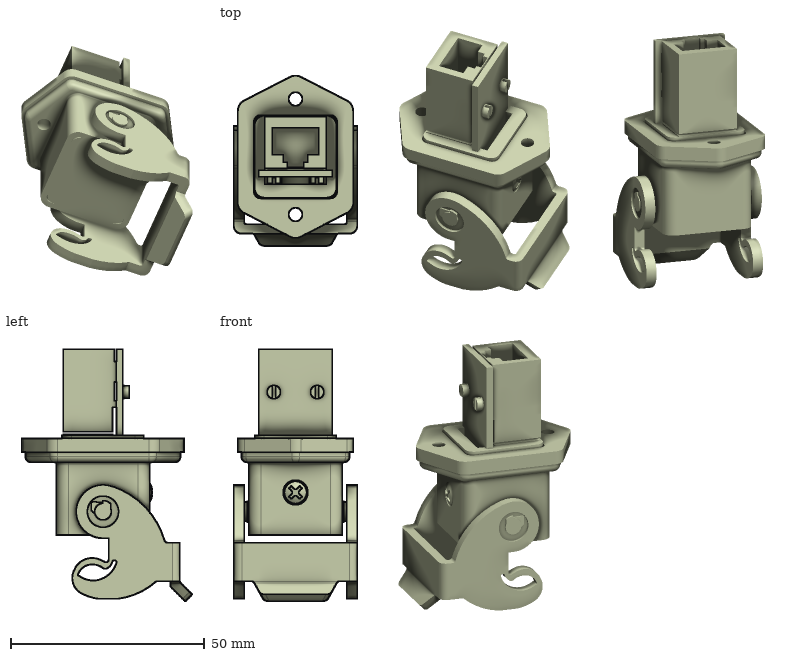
import cadquery as cq
import math


FLANGE_WIDTH = 29.9
FLANGE_HALF_LENGTH = 21.05
FLANGE_THICKNESS = 3.5
FLANGE_SLOPE = 27.2
FLANGE_CORNER_R = 3.1
RIM_INSET = 0.9
RIM_BOTTOM = -6.2
RIM_FILLET = 1.6
MOUNT_HOLE_DIA = 3.45
MOUNT_HOLE_Y = 14.95

HOOD_WIDTH = 24.25
HOOD_BOTTOM = -25.0
HOOD_CORNER_R = 3.1
HOOD_ROOT_FILLET = 0.3
INSERT_WIDTH = 21.2
INSERT_TOP = 0.85
INSERT_CORNER_R = 2.4
BORE_CORNER_R = 1.7
OPENING_GAP = 0.2
OPENING_DEPTH = 1.0

BOARD_WIDTH = 19.1
BOARD_BACK = -3.45
BOARD_THICKNESS = 1.7
BOARD_TOP = 23.1
BOARD_BOTTOM = -6.55
BOARD_FRONT = BOARD_BACK - BOARD_THICKNESS

JACK_WIDTH = 15.95
JACK_BACK = 10.3
JACK_FRONT = -2.95
JACK_LOWER_FRONT = -2.5
JACK_BOTTOM = 1.7
LOWER_PAD_Z = (8.05, 9.8)
UPPER_PAD_Z = (14.6, 20.0)
PORT_DEPTH = 13.05
PORT_BACK = 7.45
PORT_STEPS = ((12.1, 0.5), (6.4, -1.45), (4.25, -2.75))
LEDGE_TOP = 1.1

BOARD_SCREW_DIA = 3.45
BOARD_SCREW_HEIGHT = 1.7
BOARD_SCREW_X = 5.6
BOARD_SCREW_Z = 12.0
BOARD_SCREW_SLOT = 0.9
BOARD_SCREW_SLOT_DEPTH = 1.45

POCKET_FRONT = -7.1
POCKET_BOTTOM = -18.3
POCKET_BOSS_DIA = 7.2

HEAD_Z = -14.0
HEAD_DIA = 5.75
HEAD_SEAT_DIA = 6.4
HEAD_SEAT_DEPTH = 0.65
HEAD_PROTRUSION = 0.7
HEAD_DOME_R = 4.6
CROSS_LENGTH = 3.9
CROSS_WIDTH = 0.85
CROSS_DEPTH = 0.65
CROSS_INNER_R = 0.5

LEVER_WIDTH = 32.0
LEVER_SIDE = 2.75
LEVER_BAR = 2.5
LEVER_FRONT = -19.9
LEVER_OUTER_R = 2.0
LEVER_INNER_R = 0.5
BAR_TOP = -27.0
BAR_BOTTOM = -37.0
PIVOT_Z = -18.95
EYE_R = 6.9
EYE_TANGENT = 18.0
NOTCH_Y = -1.45
HEEL_Z = -41.55

PIVOT_DIA = 5.1
COLLAR_DIA = 5.5
COLLAR_LENGTH = 0.4
EYE_RECESS_DIA = 8.1
EYE_RECESS_DEPTH = 0.8
PIN_R = 2.15
PIN_HEIGHT = 0.65
KEY_R = 2.9
KEY_FLAT = 1.95
LUG_HEIGHT = 0.4
LUG_OUTLINE = [(0, 0), (0, 2.4), (2.75, 2.55), (3.0, 2.35), (3.0, 0.25), (2.15, -0.45)]

TAB_THICKNESS = 2.55
TAB_BEND_R = 0.5
TAB_LENGTH = 4.3
TAB_BASE_WIDTH = 21.3
TAB_END_WIDTH = 16.1
TAB_END_R = 1.65
TAB_FLARE = 0.5


def rounded_block(size_x, size_y, radius, z_low, z_high):
    """Upright block on the connector axis with rounded vertical edges."""
    block = cq.Workplane("XY").workplane(offset=z_low).rect(size_x, size_y).extrude(z_high - z_low)
    return block.edges("|Z").fillet(radius)


def span_box(x_half, y_range, z_range):
    """Box that is symmetric in X and spans the given Y and Z ranges."""
    y_low, y_high = sorted(y_range)
    z_low, z_high = sorted(z_range)
    return cq.Workplane("XY").box(2 * x_half, y_high - y_low, z_high - z_low).translate(
        (0, (y_low + y_high) / 2, (z_low + z_high) / 2)
    )


def forward_cylinder(x, z, diameter, y_start, length):
    """Cylinder that runs from y_start toward -Y."""
    plane = cq.Workplane("XZ", origin=(x, y_start, z))
    return plane.circle(diameter / 2).extrude(length)


def hexagon_plate(inset, z_low, z_high):
    """Elongated hexagon with rounded corners, pulled in by the given inset."""
    slope = math.radians(FLANGE_SLOPE)
    half_width = FLANGE_WIDTH / 2 - inset
    radius = FLANGE_CORNER_R - inset
    tip = FLANGE_HALF_LENGTH - inset + radius * (1 / math.cos(slope) - 1)
    side = tip - half_width * math.tan(slope)
    outline = [
        (0, tip),
        (half_width, side),
        (half_width, -side),
        (0, -tip),
        (-half_width, -side),
        (-half_width, side),
    ]
    plate = cq.Workplane("XY").workplane(offset=z_low).polyline(outline).close().extrude(z_high - z_low)
    return plate.edges("|Z").fillet(radius)


def make_housing():
    flange = hexagon_plate(0, -FLANGE_THICKNESS, 0)
    rim = hexagon_plate(RIM_INSET, RIM_BOTTOM, -FLANGE_THICKNESS).faces("<Z").edges().fillet(RIM_FILLET)
    hood = rounded_block(HOOD_WIDTH, HOOD_WIDTH, HOOD_CORNER_R, HOOD_BOTTOM, -FLANGE_THICKNESS)
    bore = rounded_block(INSERT_WIDTH, INSERT_WIDTH, BORE_CORNER_R, HOOD_BOTTOM, 0)
    opening_width = INSERT_WIDTH + 2 * OPENING_GAP
    opening = rounded_block(opening_width, opening_width, BORE_CORNER_R + OPENING_GAP, -OPENING_DEPTH, 0)
    mount_holes = (
        cq.Workplane("XY")
        .pushPoints([(0, MOUNT_HOLE_Y), (0, -MOUNT_HOLE_Y)])
        .circle(MOUNT_HOLE_DIA / 2)
        .extrude(RIM_BOTTOM)
    )
    shell = rim.union(hood)
    reach = HOOD_WIDTH / 2 + HOOD_ROOT_FILLET / 2
    root = cq.selectors.BoxSelector(
        (-reach, -reach, RIM_BOTTOM - HOOD_ROOT_FILLET), (reach, reach, RIM_BOTTOM + HOOD_ROOT_FILLET)
    )
    shell = shell.edges("not |Z").edges(root).fillet(HOOD_ROOT_FILLET)
    return flange.union(shell).cut(bore).cut(opening).cut(mount_holes)


def make_insert():
    insert = rounded_block(INSERT_WIDTH, INSERT_WIDTH, INSERT_CORNER_R, HOOD_BOTTOM, INSERT_TOP)
    pocket = span_box(JACK_WIDTH / 2, (BOARD_FRONT, POCKET_FRONT), (POCKET_BOTTOM, INSERT_TOP))
    boss = forward_cylinder(0, HEAD_Z, POCKET_BOSS_DIA, BOARD_FRONT, BOARD_FRONT - POCKET_FRONT)
    ledge = span_box(JACK_WIDTH / 2, (JACK_LOWER_FRONT, JACK_BACK), (INSERT_TOP, LEDGE_TOP))
    return insert.cut(pocket).union(boss).union(ledge)


def make_jack():
    upper = span_box(JACK_WIDTH / 2, (JACK_FRONT, JACK_BACK), (LOWER_PAD_Z[0], BOARD_TOP))
    lower = span_box(JACK_WIDTH / 2, (JACK_LOWER_FRONT, JACK_BACK), (JACK_BOTTOM, LOWER_PAD_Z[0]))
    jack = upper.union(lower)
    for pad_z in (LOWER_PAD_Z, UPPER_PAD_Z):
        jack = jack.union(span_box(JACK_WIDTH / 2, (BOARD_BACK, JACK_FRONT), pad_z))
    for width, front in PORT_STEPS:
        jack = jack.cut(span_box(width / 2, (front, PORT_BACK), (BOARD_TOP - PORT_DEPTH, BOARD_TOP)))
    return jack


def make_board():
    board = span_box(BOARD_WIDTH / 2, (BOARD_BACK, BOARD_FRONT), (BOARD_BOTTOM, BOARD_TOP))
    tip = BOARD_FRONT - BOARD_SCREW_HEIGHT
    slot = span_box(
        BOARD_SCREW_SLOT / 2,
        (tip, tip + BOARD_SCREW_SLOT_DEPTH),
        (BOARD_SCREW_Z - BOARD_SCREW_DIA, BOARD_SCREW_Z + BOARD_SCREW_DIA),
    )
    for x in (-BOARD_SCREW_X, BOARD_SCREW_X):
        screw = forward_cylinder(x, BOARD_SCREW_Z, BOARD_SCREW_DIA, BOARD_FRONT, BOARD_SCREW_HEIGHT)
        board = board.union(screw.cut(slot.translate((x, 0, 0))))
    return board


def add_cross_head_screw(body):
    wall = -HOOD_WIDTH / 2
    seat_floor = wall + HEAD_SEAT_DEPTH
    tip = wall - HEAD_PROTRUSION
    seat = forward_cylinder(0, HEAD_Z, HEAD_SEAT_DIA, seat_floor, HEAD_SEAT_DEPTH)
    dome = cq.Workplane("XY").sphere(HEAD_DOME_R).translate((0, tip + HEAD_DOME_R, HEAD_Z))
    head = forward_cylinder(0, HEAD_Z, HEAD_DIA, seat_floor, HEAD_DOME_R).intersect(dome)
    arm = cq.Workplane("XY").box(CROSS_LENGTH, 2 * CROSS_DEPTH, CROSS_WIDTH)
    cross = arm.union(arm.rotate((0, 0, 0), (0, 1, 0), 90))
    near_axis = (CROSS_WIDTH, CROSS_DEPTH, CROSS_WIDTH)
    inner_corners = cq.selectors.BoxSelector(tuple(-size for size in near_axis), near_axis)
    cross = cross.edges("|Y").edges(inner_corners).fillet(CROSS_INNER_R)
    cross = cross.rotate((0, 0, 0), (0, 1, 0), 45).translate((0, tip, HEAD_Z))
    return body.cut(seat).union(head.cut(cross))


def lever_outline():
    """Side outline of the lever in Y and Z: eye, back edge, bar end, heel and hook."""
    angle = math.radians(EYE_TANGENT)
    eye_bottom = PIVOT_Z - EYE_R
    return (
        cq.Workplane("YZ", origin=(-LEVER_WIDTH / 2, 0, 0))
        .moveTo(NOTCH_Y, eye_bottom)
        .lineTo(0, eye_bottom)
        .threePointArc(
            (EYE_R, PIVOT_Z),
            (-EYE_R * math.sin(angle), PIVOT_Z + EYE_R * math.cos(angle)),
        )
        .lineTo(-2.9, -12.55)
        .threePointArc((-11.95, -18.9), (-15.95, -26.3))
        .threePointArc((-16.2, -26.8), (-16.7, BAR_TOP))
        .lineTo(LEVER_FRONT, BAR_TOP)
        .lineTo(LEVER_FRONT, BAR_BOTTOM)
        .lineTo(-13.85, BAR_BOTTOM)
        .threePointArc((-9.15, -40.05), (-3.85, HEEL_Z))
        .lineTo(1.2, HEEL_Z)
        .threePointArc((3.85, -40.9), (5.95, -39.9))
        .threePointArc((8.0, -36.3), (7.45, -34.05))
        .threePointArc((4.4, -31.15), (0.9, -31.3))
        .lineTo(-0.4, -31.9)
        .threePointArc((-1.1, -31.95), (NOTCH_Y, -31.5))
        .close()
    )


def hook_slot():
    """Curved slot that leaves the hook as a springy finger."""
    return (
        cq.Workplane("YZ", origin=(-LEVER_WIDTH / 2, 0, 0))
        .moveTo(-3.5, -32.0)
        .threePointArc((-1.2, -35.5), (2.55, -36.8))
        .threePointArc((4.6, -36.4), (6.2, -35.55))
        .threePointArc((6.5, -35.35), (6.4, -35.15))
        .threePointArc((4.9, -33.25), (2.75, -32.65))
        .threePointArc((1.2, -32.9), (0.0, -33.6))
        .threePointArc((-0.65, -33.8), (-1.3, -33.5))
        .threePointArc((-2.1, -32.7), (-2.5, -31.75))
        .threePointArc((-3.0, -31.55), (-3.5, -32.0))
        .close()
        .extrude(LEVER_WIDTH)
    )


def make_tab():
    """Finger tab that leaves the bar at 45 degrees, with tapered sides and a rounded end."""
    run = TAB_LENGTH / math.sqrt(2)
    drop = TAB_THICKNESS / math.sqrt(2)
    bend_center_y = LEVER_FRONT - TAB_BEND_R
    bend_points = [
        (bend_center_y + TAB_BEND_R * math.cos(angle), BAR_BOTTOM - TAB_BEND_R * math.sin(angle))
        for angle in (math.pi / 8, math.pi / 4)
    ]
    end_y = bend_points[-1][0] - run
    end_z = bend_points[-1][1] - run
    low_y = end_y + drop
    low_z = end_z - drop
    inner_y = LEVER_FRONT + LEVER_BAR
    inner_bend_z = low_z + inner_y - low_y
    sheet = (
        cq.Workplane("YZ", origin=(-LEVER_WIDTH / 2, 0, 0))
        .moveTo(LEVER_FRONT, BAR_BOTTOM)
        .threePointArc(*bend_points)
        .lineTo(end_y, end_z)
        .lineTo(low_y, low_z)
        .lineTo(inner_y, inner_bend_z)
        .lineTo(inner_y, BAR_BOTTOM)
        .close()
        .extrude(LEVER_WIDTH)
    )
    base = TAB_BASE_WIDTH / 2
    end = TAB_END_WIDTH / 2
    taper = (
        cq.Workplane("XZ", origin=(0, inner_y, 0))
        .moveTo(-base - TAB_FLARE, BAR_BOTTOM)
        .lineTo(-base, BAR_BOTTOM - TAB_FLARE)
        .lineTo(-end, low_z)
        .lineTo(end, low_z)
        .lineTo(base, BAR_BOTTOM - TAB_FLARE)
        .lineTo(base + TAB_FLARE, BAR_BOTTOM)
        .close()
        .extrude(inner_y - end_y)
    )
    end_face = cq.selectors.DirectionMinMaxSelector(cq.Vector(0, -1, -1), True)
    return sheet.intersect(taper).faces(end_face).edges("not |X").fillet(TAB_END_R)


def make_lever():
    solid = lever_outline().extrude(LEVER_WIDTH).cut(hook_slot())
    height_range = (HEEL_Z, PIVOT_Z + EYE_R)
    envelope = span_box(LEVER_WIDTH / 2, (LEVER_FRONT, EYE_R + LEVER_SIDE), height_range)
    envelope = envelope.edges("|Z and <Y").fillet(LEVER_OUTER_R)
    hollow = span_box(
        LEVER_WIDTH / 2 - LEVER_SIDE, (LEVER_FRONT + LEVER_BAR, EYE_R + LEVER_SIDE), height_range
    )
    hollow = hollow.edges("|Z and <Y").fillet(LEVER_INNER_R)
    return solid.intersect(envelope).cut(hollow).union(make_tab())


def side_cylinder(diameter, x_outer, length):
    """Cylinder on the pivot axis that runs from x_outer toward +X."""
    return cq.Workplane("YZ", origin=(x_outer, 0, PIVOT_Z)).circle(diameter / 2).extrude(length)


def make_pin_end(x_floor):
    """Keyed end of the pivot pin that stands up from the floor of the eye recess."""
    plane = cq.Workplane("YZ", origin=(x_floor, 0, PIVOT_Z))
    pin = plane.circle(PIN_R).extrude(-PIN_HEIGHT)
    key_window = plane.moveTo(0, 0).rect(-KEY_FLAT, KEY_R, centered=False).extrude(-PIN_HEIGHT)
    key = plane.circle(KEY_R).extrude(-PIN_HEIGHT).intersect(key_window)
    lug = plane.polyline(LUG_OUTLINE).close()
    return pin.union(key).union(lug.extrude(-LUG_HEIGHT))


def add_pivots(body):
    outer = -LEVER_WIDTH / 2
    hood_wall = -HOOD_WIDTH / 2
    plate_inner = outer + LEVER_SIDE
    recess = side_cylinder(EYE_RECESS_DIA, outer, EYE_RECESS_DEPTH)
    pivot = side_cylinder(PIVOT_DIA, plate_inner, hood_wall - plate_inner)
    collar = side_cylinder(COLLAR_DIA, hood_wall - COLLAR_LENGTH, COLLAR_LENGTH)
    added = pivot.union(collar).union(make_pin_end(outer + EYE_RECESS_DEPTH))
    body = body.cut(recess).cut(recess.mirror("YZ"))
    return body.union(added).union(added.mirror("YZ"))


housing = add_cross_head_screw(make_housing().union(make_insert()))
connector = housing.union(make_board()).union(make_jack())
result = add_pivots(connector.union(make_lever()))